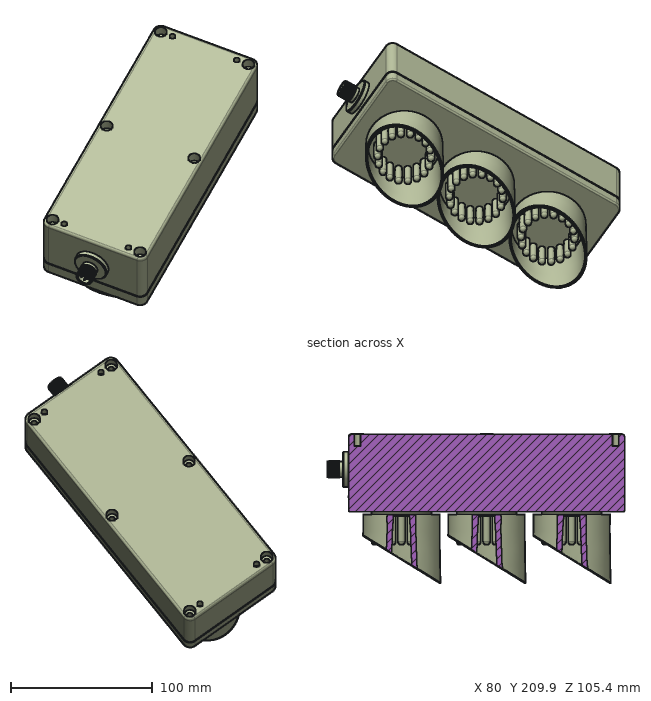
import cadquery as cq
import math

box_width = 80.0
box_length = 195.0
box_height = 55.0
corner_radius = 5.7
top_edge_radius = 1.9
bottom_edge_radius = 1.3
seam_height = 10.5
seam_width = 0.6
seam_depth = 0.2

screw_x = 34.0
screw_y = 91.1
screw_diameter = 4.2
counterbore_diameter = 8.5
counterbore_depth = 8.5
mount_x = 25.0
mount_diameter = 4.2
mount_depth = 8.5

lamp_pitch = 60.0
lamp_count = 3
collar_diameter = 42.5
collar_height = 1.7
hood_top_diameter = 54.2
hood_draft = 0.7
hood_wall = 1.5
hood_short_side = 15.1
hood_long_side = 49.0
hood_rim_chamfer = 0.52

led_count = 18
led_ring_radius = 19.0
led_diameter = 5.0
led_tip_drop = 23.3

connector_z = 30.0
flange_diameter = 25.0
flange_thickness = 3.8
flange_chamfer = 0.6
plug_length = 11.1
plug_diameter = 12.0
neck_length = 2.3
neck_diameter = 11.3
thread_pitch = 1.0
thread_depth = 0.52
socket_diameter = 8.8
socket_depth = 6.3
key_width = 1.3
key_height = 1.0
key_angle = 135
pin_count = 4
pin_circle_radius = 2.3
pin_diameter = 1.0
pin_length = 5.2

overlap = 1.0


def make_enclosure():
    """Rounded box with a thin seam groove between base and lid."""
    box = cq.Workplane("XY").box(box_width, box_length, box_height, centered=(True, True, False))
    box = box.edges("|Z").fillet(corner_radius)
    box = box.faces(">Z").edges().fillet(top_edge_radius)
    box = box.faces("<Z").edges().fillet(bottom_edge_radius)
    inner_width = box_width - 2 * seam_depth
    inner_length = box_length - 2 * seam_depth
    core = (
        cq.Workplane("XY", origin=(0, 0, seam_height))
        .rect(inner_width, inner_length)
        .extrude(seam_width)
        .edges("|Z")
        .fillet(corner_radius - seam_depth)
    )
    seam = (
        cq.Workplane("XY", origin=(0, 0, seam_height))
        .rect(2 * box_width, 2 * box_length)
        .extrude(seam_width)
        .cut(core)
    )
    return box.cut(seam)


def drill_top(body):
    """Six counterbored lid screw holes, bored down to the seam, and four plain blind holes."""
    top = cq.Workplane("XY", origin=(0, 0, box_height))
    screw_points = [(sx * screw_x, sy * screw_y) for sx in (-1, 1) for sy in (-1, 0, 1)]
    mount_points = [(sx * mount_x, sy * screw_y) for sx in (-1, 1) for sy in (-1, 1)]
    screw_depth = box_height - seam_height
    counterbores = top.pushPoints(screw_points).circle(counterbore_diameter / 2).extrude(-counterbore_depth)
    screw_holes = top.pushPoints(screw_points).circle(screw_diameter / 2).extrude(-screw_depth)
    mount_holes = top.pushPoints(mount_points).circle(mount_diameter / 2).extrude(-mount_depth)
    return body.cut(counterbores).cut(screw_holes).cut(mount_holes)


def make_led():
    """Round LED standing on the hood roof, domed end pointing down, axis on the origin."""
    radius = led_diameter / 2
    root_z = -collar_height - hood_wall / 2
    dome_z = -led_tip_drop + radius
    stem = cq.Workplane("XY", origin=(0, 0, dome_z)).circle(radius).extrude(root_z - dome_z)
    dome = cq.Workplane("XY", origin=(0, 0, dome_z)).sphere(radius)
    return stem.union(dome)


def make_hood_cone(offset):
    """Solid tapered hood body, its radius reduced by the given offset."""
    return (
        cq.Workplane("XY", origin=(0, 0, -collar_height))
        .circle(hood_top_diameter / 2 - offset)
        .extrude(-hood_long_side - overlap, taper=-hood_draft)
    )


def make_lamp():
    """Collar, slanted tubular hood and LED ring, centred on the Z axis."""
    roof_z = -collar_height
    collar = (
        cq.Workplane("XY", origin=(0, 0, roof_z - hood_wall / 2))
        .circle(collar_diameter / 2)
        .extrude(collar_height + hood_wall / 2 + overlap)
    )
    roof = (
        cq.Workplane("XY", origin=(0, 0, roof_z))
        .circle(hood_top_diameter / 2)
        .extrude(-hood_wall)
    )
    tube = make_hood_cone(0).cut(make_hood_cone(hood_wall)).union(roof)
    draft_tangent = math.tan(math.radians(hood_draft))
    short_side_y = -hood_top_diameter / 2 - hood_short_side * draft_tangent
    long_side_y = hood_top_diameter / 2 + hood_long_side * draft_tangent
    slope = (hood_long_side - hood_short_side) / (long_side_y - short_side_y)
    side_profile = (
        cq.Workplane("YZ")
        .polyline(
            [
                (short_side_y - overlap, roof_z),
                (long_side_y + overlap, roof_z),
                (long_side_y + overlap, roof_z - hood_long_side - overlap * slope),
                (short_side_y - overlap, roof_z - hood_short_side + overlap * slope),
            ]
        )
        .close()
        .extrude(hood_top_diameter, both=True)
    )
    hood = tube.intersect(side_profile)
    rim_direction = cq.Vector(0, -1, -1 / slope)
    rim = hood.faces(cq.DirectionMinMaxSelector(rim_direction, directionMax=True))
    outer_rim_edges = rim.val().outerWire().Edges()
    hood = hood.newObject(outer_rim_edges).chamfer(hood_rim_chamfer)
    lamp = hood.union(collar)
    led = make_led()
    for i in range(led_count):
        angle = 2 * math.pi * (i + 0.5) / led_count
        position = (led_ring_radius * math.sin(angle), led_ring_radius * math.cos(angle), 0)
        lamp = lamp.union(led.translate(position))
    return lamp


def make_connector():
    """Flanged round plug connector with ring-grooved thread, keyed socket and pins."""
    wall = cq.Workplane("XZ", origin=(0, -box_length / 2, connector_z))
    flange = wall.workplane(offset=-overlap).circle(flange_diameter / 2).extrude(flange_thickness + overlap)
    flange = flange.faces("<Y").edges().chamfer(flange_chamfer)

    plug_start = wall.workplane(offset=flange_thickness)
    thread_start = plug_start.workplane(offset=neck_length)
    thread_length = plug_length - neck_length
    plug = plug_start.circle(neck_diameter / 2).extrude(plug_length)
    thread_count = int(thread_length / thread_pitch)

    crest = plug_diameter / 2
    root = crest - thread_depth
    outline = [(0, 0), (root, 0)]
    for i in range(thread_count):
        outline.append((crest, (i + 0.5) * thread_pitch))
        outline.append((root, (i + 1) * thread_pitch))
    outline += [(root, thread_length), (0, thread_length)]
    thread = (
        cq.Workplane("XY")
        .polyline(outline)
        .close()
        .revolve(360, (0, 0, 0), (0, 1, 0))
        .rotate((0, 0, 0), (1, 0, 0), 180)
        .translate(thread_start.plane.origin.toTuple())
    )
    plug = plug.union(thread)

    plug_end = plug_start.workplane(offset=plug_length)
    plug = plug.cut(plug_end.circle(socket_diameter / 2).extrude(-socket_depth))
    key = (
        plug_end.workplane(offset=-socket_depth)
        .transformed(rotate=(0, 0, key_angle))
        .center(socket_diameter / 2, 0)
        .rect(2 * key_height, key_width)
        .extrude(socket_depth)
    )
    plug = plug.union(key)
    pins = (
        plug_end.workplane(offset=-socket_depth - overlap)
        .polarArray(pin_circle_radius, 0, 360, pin_count)
        .circle(pin_diameter / 2)
        .extrude(pin_length + overlap)
    )
    return flange.union(plug).union(pins)


result = drill_top(make_enclosure())
lamp = make_lamp()
for i in range(lamp_count):
    lamp_y = (i - (lamp_count - 1) / 2) * lamp_pitch
    result = result.union(lamp.translate((0, lamp_y, 0)))
result = result.union(make_connector())